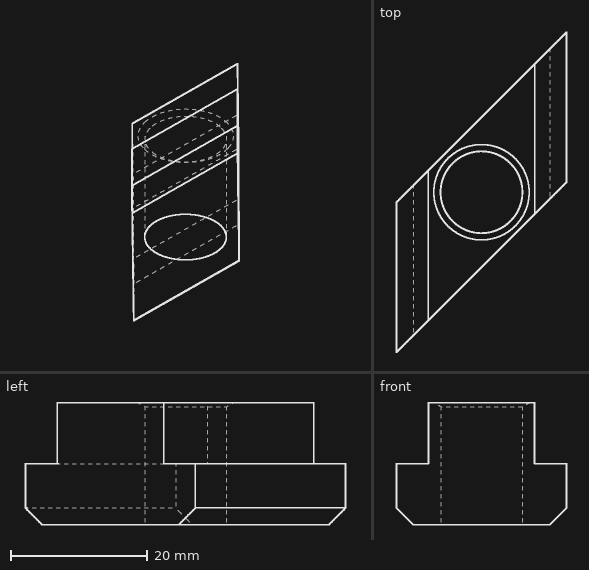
import cadquery as cq
import math

width = 25.0
length = 47.05
height = 18.0

base_height = height / 2
stem_width = 15.62
base_chamfer = 2.5

hole_diameter = 12.0
countersink_diameter = 14.02
countersink_half_angle = 60
countersink_step = (countersink_diameter - hole_diameter) / 2
countersink_depth = countersink_step / math.tan(math.radians(countersink_half_angle))

half_width = width / 2
half_length = length / 2
half_stem = stem_width / 2


def t_profile_bar():
    """T-section bar running along Y, with chamfered lower edges."""
    right_side = [
        (half_width - base_chamfer, 0),
        (half_width, base_chamfer),
        (half_width, base_height),
        (half_stem, base_height),
        (half_stem, height),
    ]
    left_side = [(-x, z) for x, z in reversed(right_side)]
    return (
        cq.Workplane("XZ")
        .polyline(right_side + left_side)
        .close()
        .extrude(half_length, both=True)
    )


def parallelogram_block():
    """Plan outline whose sloping ends run at 45 degrees."""
    end_run = width
    outline = [
        (-half_width, -half_length),
        (half_width, -half_length + end_run),
        (half_width, half_length),
        (-half_width, half_length - end_run),
    ]
    return cq.Workplane("XY").polyline(outline).close().extrude(height)


body = t_profile_bar().intersect(parallelogram_block())

result = (
    body.faces(">Z")
    .workplane(origin=(0, 0, height))
    .circle(hole_diameter / 2)
    .cutThruAll()
    .faces(">Z")
    .workplane(origin=(0, 0, height))
    .circle(countersink_diameter / 2)
    .cutBlind(-countersink_depth, taper=countersink_half_angle)
)